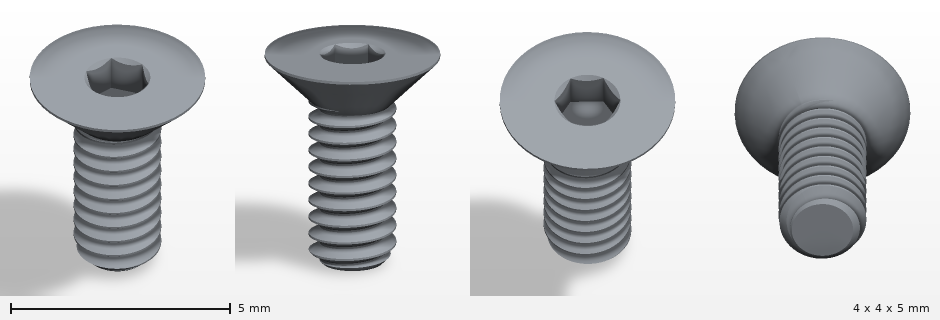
import cadquery as cq
import math

length = 5.0
head_diameter = 4.0
rim_height = 0.065
head_height = 1.2

thread_diameter = 2.0
root_diameter = 1.48
pitch = 0.4
root_flat = pitch / 8
flank_angle = 30.0
first_root = 0.085
thread_start = first_root - 2 * pitch
thread_turns = 13
tip_chamfer = 0.3
envelope_margin = 0.1

socket_flats = 1.3
socket_depth = 0.85
socket_corners = socket_flats / math.cos(math.radians(30))

head_radius = head_diameter / 2
head_base = length - head_height
cone_top = length - rim_height
shank_top = cone_top - (head_radius - thread_diameter / 2)
neck_radius = head_radius - (cone_top - head_base)


def make_head():
    """Thin cylindrical rim above a 45 degree cone."""
    outline = [
        (0, head_base),
        (neck_radius, head_base),
        (head_radius, cone_top),
        (head_radius, length),
        (0, length),
    ]
    return cq.Workplane("XZ").polyline(outline).close().revolve(360, (0, 0), (0, 1))


def make_thread_body():
    """Over-long thread stock, closed at both ends by a one-turn helicoid and a radial step."""
    root_radius = root_diameter / 2
    crest_radius = thread_diameter / 2
    flank_height = (crest_radius - root_radius) * math.tan(math.radians(flank_angle))
    crest_flat = pitch - root_flat - 2 * flank_height
    profile = [
        (root_radius, 0),
        (root_radius, root_flat),
        (crest_radius, root_flat + flank_height),
        (crest_radius, root_flat + flank_height + crest_flat),
        (root_radius, pitch),
    ]
    thread_end = thread_start + thread_turns * pitch

    def helix(radius, height):
        return cq.Wire.makeHelix(pitch, pitch, radius, center=cq.Vector(0, 0, height)).Edges()[0]

    faces = []
    for turn in range(thread_turns):
        turn_start = thread_start + turn * pitch
        edges = [helix(radius, turn_start + height) for radius, height in profile]
        for lower, upper in zip(edges, edges[1:]):
            faces.append(cq.Face.makeRuledSurface(lower, upper))
    for end_height in (thread_start, thread_end):
        axis_bottom = cq.Vector(0, 0, end_height)
        axis_top = cq.Vector(0, 0, end_height + pitch)
        axis = cq.Edge.makeLine(axis_bottom, axis_top)
        faces.append(cq.Face.makeRuledSurface(axis, helix(root_radius, end_height)))
        step = [cq.Vector(radius, 0, end_height + height) for radius, height in profile]
        step_outline = cq.Wire.makePolygon([axis_bottom, *step, axis_top], close=True)
        faces.append(cq.Face.makeFromWires(step_outline))
    return cq.Solid.makeSolid(cq.Shell.makeShell(faces))


def make_shank():
    """Thread trimmed by a 45 degree cone at the tip and by a plane inside the head."""
    tip_radius = thread_diameter / 2 - tip_chamfer
    envelope_radius = thread_diameter / 2 + envelope_margin
    outline = [
        (0, 0),
        (tip_radius, 0),
        (envelope_radius, envelope_radius - tip_radius),
        (envelope_radius, shank_top),
        (0, shank_top),
    ]
    envelope = cq.Workplane("XZ").polyline(outline).close().revolve(360, (0, 0), (0, 1))
    return envelope.intersect(cq.Workplane(make_thread_body()))


def make_socket():
    """Hexagonal recess with corners on the Y axis and a conical lead-in."""
    lead_in_radius = socket_corners / 2
    top = cq.Workplane("XY").workplane(offset=length)
    hexagon = top.transformed(rotate=(0, 0, 90)).polygon(6, socket_corners).extrude(-socket_depth)
    lead_in = cq.Solid.makeCone(0, lead_in_radius, lead_in_radius).translate((0, 0, length - lead_in_radius))
    return hexagon.union(cq.Workplane(lead_in))


result = make_shank().union(make_head()).cut(make_socket())